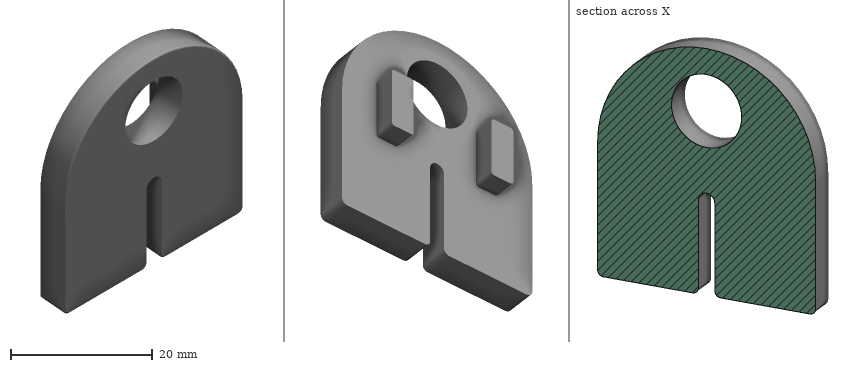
import cadquery as cq

plate_width = 34.5
plate_height = 37.5
plate_thickness = 5.0
corner_radius = 1.0
back_edge_radius = 0.3

hole_diameter = 11.0
hole_center_height = 28.0

slot_width = 2.5
slot_height = 15.5

lug_width = 3.95
lug_height = 10.0
lug_length = 3.5
lug_bottom_height = 15.0
lug_spacing = 18.05
lug_corner_radius = 0.5

half_width = plate_width / 2
arch_start_height = plate_height - half_width
slot_half_width = slot_width / 2
slot_arc_start_height = slot_height - slot_half_width


def make_plate():
    """Arched, slotted plate with rounded bottom corners and a rounded back edge."""
    plate = (
        cq.Workplane("YZ")
        .moveTo(-half_width, 0)
        .lineTo(-half_width, arch_start_height)
        .threePointArc((0, plate_height), (half_width, arch_start_height))
        .lineTo(half_width, 0)
        .lineTo(slot_half_width, 0)
        .lineTo(slot_half_width, slot_arc_start_height)
        .threePointArc((0, slot_height), (-slot_half_width, slot_arc_start_height))
        .lineTo(-slot_half_width, 0)
        .close()
        .extrude(plate_thickness)
    )
    plate = plate.faces("<Z").edges("|X").fillet(corner_radius)
    return plate.faces(">X").edges().fillet(back_edge_radius)


def make_hole():
    """Cylinder that cuts the round hole through the plate."""
    return (
        cq.Workplane("YZ")
        .center(0, hole_center_height)
        .circle(hole_diameter / 2)
        .extrude(plate_thickness)
    )


def make_lug(center_y):
    """Lug with rounded long edges, standing out from the front face."""
    return (
        cq.Workplane("YZ")
        .center(center_y, lug_bottom_height + lug_height / 2)
        .rect(lug_width, lug_height)
        .extrude(-lug_length)
        .edges("|X")
        .fillet(lug_corner_radius)
    )


result = make_plate().cut(make_hole())
for side in (-1, 1):
    result = result.union(make_lug(side * lug_spacing / 2))